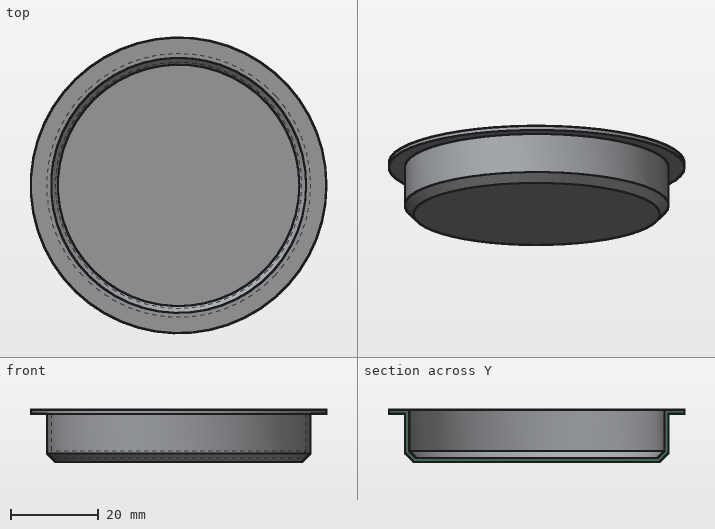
import cadquery as cq

flange_diameter = 67.3
body_diameter = 60.0
wall = 1.0
height = 12.0
base_chamfer = 2.0
cavity_chamfer = 1.55

cavity_diameter = body_diameter - 2 * wall
cavity_depth = height - wall

body = cq.Workplane("XY").circle(body_diameter / 2).extrude(height)
body = body.faces("<Z").edges().chamfer(base_chamfer)

flange = (
    cq.Workplane("XY")
    .workplane(offset=height - wall)
    .circle(flange_diameter / 2)
    .extrude(wall)
)

cavity = (
    cq.Workplane("XY")
    .workplane(offset=wall)
    .circle(cavity_diameter / 2)
    .extrude(cavity_depth)
)
cavity = cavity.faces("<Z").edges().chamfer(cavity_chamfer)

result = body.union(flange).cut(cavity)